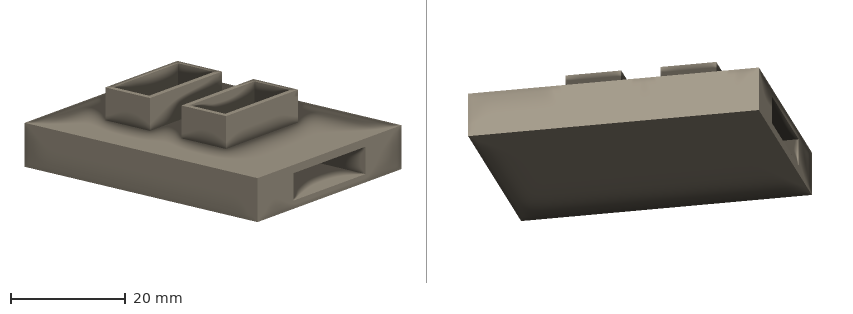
import cadquery as cq

plate_length = 52.0
plate_width = 40.0
plate_height = 8.0

tunnel_width = 20.0
tunnel_height = 5.0
tunnel_floor = 1.5

socket_length = 10.0
socket_width = tunnel_width
socket_height = 6.0
socket_wall = 1.0
first_socket_start = 10.0
socket_pitch = 17.0
socket_count = 2


def block(length, width, height, x_start, z_start):
    """Box centred on Y, starting at the given X and Z."""
    body = cq.Workplane("XY").box(length, width, height, centered=(False, True, False))
    return body.translate((x_start, 0, z_start))


plate = block(plate_length, plate_width, plate_height, 0, 0)
tunnel = block(plate_length, tunnel_width, tunnel_height, 0, tunnel_floor)
result = plate.cut(tunnel)

tunnel_roof = tunnel_floor + tunnel_height
socket_top = plate_height + socket_height
for index in range(socket_count):
    socket_start = first_socket_start + index * socket_pitch
    socket = block(socket_length, socket_width, socket_height, socket_start, plate_height)
    opening = block(
        socket_length - 2 * socket_wall,
        socket_width - 2 * socket_wall,
        socket_top - tunnel_roof,
        socket_start + socket_wall,
        tunnel_roof,
    )
    result = result.union(socket).cut(opening)